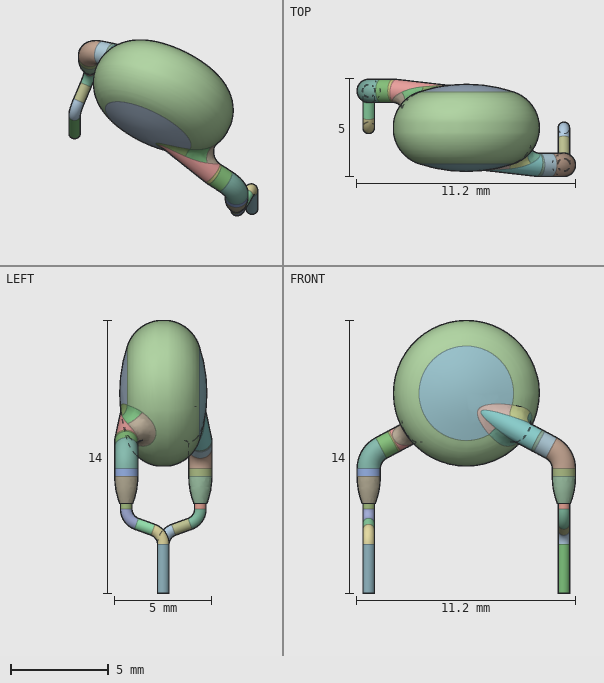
import cadquery as cq
import math

DISC_RADIUS = 3.75
DISC_HALF_THICKNESS = 2.24
RIM_RADIUS = 1.95
TOTAL_HEIGHT = 14.0
DISC_CENTRE_Z = TOTAL_HEIGHT - DISC_RADIUS

WIRE_DIAMETER = 0.6
SLEEVE_DIAMETER = 1.2
OVERALL_WIDTH = 11.2
OVERALL_DEPTH = 5.0
LEAD_X = (OVERALL_WIDTH - SLEEVE_DIAMETER) / 2
SLEEVE_Y = (OVERALL_DEPTH - SLEEVE_DIAMETER) / 2

SLEEVE_BOTTOM_Z = 4.59
TAPER_TOP_Z = 5.99
TAPER_END_RADIUS = 0.34
ELBOW_BOTTOM_Z = 6.38
ELBOW_RADIUS = 1.2
ARM_RISE = math.radians(28)
ARM_STRAIGHT = 0.7
ARM_BURIED_LENGTH = 3.92
ARM_TILT = math.radians(5.8)
KINK_RADIUS = 1.25
ARM_FILLET = 0.77

TAIL_LENGTH = 2.5
WIRE_BEND_RADIUS = 0.8
WIRE_SLOPE = math.radians(20)


def make_disc():
    """Disc with a round rim, blended tangentially into a shallow dome on each face."""
    rim_centre = DISC_RADIUS - RIM_RADIUS
    dome_radius = (rim_centre**2 + DISC_HALF_THICKNESS**2 - RIM_RADIUS**2) / (
        2 * (DISC_HALF_THICKNESS - RIM_RADIUS)
    )
    dome_drop = dome_radius - DISC_HALF_THICKNESS
    seam_angle = math.atan2(rim_centre, dome_drop)
    seam_r = dome_radius * math.sin(seam_angle)
    seam_y = dome_radius * math.cos(seam_angle) - dome_drop
    mid_r = dome_radius * math.sin(seam_angle / 2)
    mid_y = dome_radius * math.cos(seam_angle / 2) - dome_drop
    return (
        cq.Workplane("XY")
        .moveTo(0, -DISC_HALF_THICKNESS)
        .threePointArc((mid_r, -mid_y), (seam_r, -seam_y))
        .threePointArc((DISC_RADIUS, 0), (seam_r, seam_y))
        .threePointArc((mid_r, mid_y), (0, DISC_HALF_THICKNESS))
        .close()
        .revolve(360, (0, 0, 0), (0, 1, 0))
        .translate((0, 0, DISC_CENTRE_Z))
    )


def make_arm():
    """Bent sleeve on the +X, -Y side, from the foot of its elbow into the disc."""
    elbow_start = cq.Vector(LEAD_X, -SLEEVE_Y, ELBOW_BOTTOM_Z)
    elbow_turn = math.pi / 2 - ARM_RISE
    elbow_end = elbow_start + cq.Vector(
        -ELBOW_RADIUS * (1 - math.cos(elbow_turn)), 0, ELBOW_RADIUS * math.sin(elbow_turn)
    )
    along = cq.Vector(-math.cos(ARM_RISE), 0, math.sin(ARM_RISE))
    inward = cq.Vector(0, 1, 0)
    kink_start = elbow_end + along * ARM_STRAIGHT
    kink_end = (
        kink_start
        + along * (KINK_RADIUS * math.sin(ARM_TILT))
        + inward * (KINK_RADIUS * (1 - math.cos(ARM_TILT)))
    )
    tilted = along * math.cos(ARM_TILT) + inward * math.sin(ARM_TILT)
    path = cq.Wire.assembleEdges([
        cq.Edge.makeTangentArc(elbow_start, cq.Vector(0, 0, 1), elbow_end),
        cq.Edge.makeLine(elbow_end, kink_start),
        cq.Edge.makeTangentArc(kink_start, along, kink_end),
        cq.Edge.makeLine(kink_end, kink_end + tilted * ARM_BURIED_LENGTH),
    ])
    return (
        cq.Workplane("XY", origin=elbow_start.toTuple()).circle(SLEEVE_DIAMETER / 2).sweep(path)
    )


def make_sleeve_end():
    """Short upright below the elbow, then a tangent convex taper down to the wire."""
    sleeve_radius = SLEEVE_DIAMETER / 2
    upright = ELBOW_BOTTOM_Z - TAPER_TOP_Z
    length = ELBOW_BOTTOM_Z - SLEEVE_BOTTOM_Z
    return (
        cq.Workplane("XZ")
        .lineTo(sleeve_radius, 0)
        .lineTo(sleeve_radius, -upright)
        .tangentArcPoint((TAPER_END_RADIUS, -length), relative=False)
        .lineTo(0, -length)
        .close()
        .revolve(360, (0, 0, 0), (0, 1, 0))
        .translate((LEAD_X, -SLEEVE_Y, ELBOW_BOTTOM_Z))
    )


def half_turn(shape):
    """The same shape on the opposite side of the disc."""
    return shape.rotate((0, 0, 0), (0, 0, 1), 180)


def make_coating():
    """Disc, both arms with filleted roots, and both sleeve ends as one solid."""
    disc = make_disc()
    arm = make_arm()
    coating = disc.union(arm).union(half_turn(arm))
    coating = coating.edges("%BSPLINE").fillet(ARM_FILLET)
    sleeve_end = make_sleeve_end()
    return coating.union(sleeve_end).union(half_turn(sleeve_end))


def make_wire():
    """Bare wire on the +X side, offset by its two bends to end upright at Y = 0."""
    turn = math.pi / 2 - WIRE_SLOPE
    bend_y = WIRE_BEND_RADIUS * (1 - math.cos(turn))
    bend_z = WIRE_BEND_RADIUS * math.sin(turn)
    slope_y = SLEEVE_Y - 2 * bend_y
    slope_z = slope_y * math.tan(WIRE_SLOPE)
    down = cq.Vector(0, 0, -1)
    along_slope = cq.Vector(0, math.cos(WIRE_SLOPE), -math.sin(WIRE_SLOPE))

    tip = cq.Vector(LEAD_X, 0, 0)
    lower_bend_end = cq.Vector(LEAD_X, 0, TAIL_LENGTH)
    lower_bend_start = lower_bend_end + cq.Vector(0, -bend_y, bend_z)
    upper_bend_end = lower_bend_start + cq.Vector(0, -slope_y, slope_z)
    upper_bend_start = upper_bend_end + cq.Vector(0, -bend_y, bend_z)
    top = cq.Vector(LEAD_X, -SLEEVE_Y, SLEEVE_BOTTOM_Z)
    path = cq.Wire.assembleEdges([
        cq.Edge.makeLine(top, upper_bend_start),
        cq.Edge.makeTangentArc(upper_bend_start, down, upper_bend_end),
        cq.Edge.makeLine(upper_bend_end, lower_bend_start),
        cq.Edge.makeTangentArc(lower_bend_start, along_slope, lower_bend_end),
        cq.Edge.makeLine(lower_bend_end, tip),
    ])
    return cq.Workplane("XY", origin=top.toTuple()).circle(WIRE_DIAMETER / 2).sweep(path)


coating = make_coating()
wires = [make_wire().rotate((0, 0, 0), (0, 0, 1), angle) for angle in (0, 180)]
result = cq.Compound.makeCompound([coating.val(), *[wire.val() for wire in wires]])